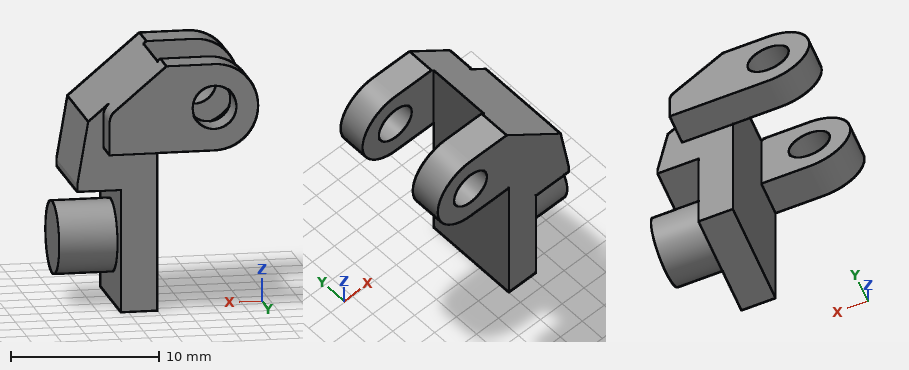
import cadquery as cq

ear_radius = 3.0
pivot_diameter = 3.0
front_ear_thickness = 2.5
back_ear_thickness = 2.2
body_width = 7.5
overall_width = body_width + back_ear_thickness

plate_front = 3.5
plate_thickness = 2.5
plate_back = plate_front + plate_thickness
plate_bottom = -14.5

slope_start = 3.3
shoulder_x = 8.25
shoulder_z = -1.15
head_back = 9.0
head_bottom = -6.0
lip_height = 0.5

back_ear_end = 7.2
back_corner_radius = 1.0

top_slope = (shoulder_z - ear_radius) / (shoulder_x - slope_start)

peg_diameter = 5.0
peg_length = 4.0
peg_z = -10.0


def extrude_along_y(profile, y_start, y_end):
    """Extrude a closed XZ profile between two Y positions."""
    return profile.extrude(-(y_end - y_start)).translate((0, y_start, 0))


def make_body():
    """Upright plate with its sloped head, over the full body width."""
    top_z = ear_radius + top_slope * (plate_front - slope_start)
    profile = (
        cq.Workplane("XZ")
        .moveTo(plate_front, plate_bottom)
        .lineTo(plate_back, plate_bottom)
        .lineTo(plate_back, head_bottom)
        .lineTo(head_back, head_bottom)
        .lineTo(head_back, head_bottom + lip_height)
        .lineTo(shoulder_x, shoulder_z)
        .lineTo(plate_front, top_z)
        .close()
    )
    return extrude_along_y(profile, 0, body_width)


def make_ear(root_points, y_start, y_end):
    """Round-nosed ear; root_points run from the top flat down to the bottom flat."""
    profile = (
        cq.Workplane("XZ")
        .moveTo(0, -ear_radius)
        .threePointArc((-ear_radius, 0), (0, ear_radius))
        .polyline(root_points, includeCurrent=True)
        .close()
    )
    return extrude_along_y(profile, y_start, y_end)


def make_peg():
    """Round peg standing on the plate's +X face, centred across the body."""
    return (
        cq.Workplane("YZ", origin=(plate_back, body_width / 2, peg_z))
        .circle(peg_diameter / 2)
        .extrude(peg_length)
    )


def make_pivot_hole(y_end):
    """Cutter for the pivot hole through both ears."""
    return extrude_along_y(cq.Workplane("XZ").circle(pivot_diameter / 2), 0, y_end)


def make_front_ear():
    """Front ear, whose root merges into the sloped head."""
    root = [
        (slope_start, ear_radius),
        (shoulder_x, shoulder_z),
        (shoulder_x, -ear_radius),
    ]
    return make_ear(root, 0, front_ear_thickness)


def make_back_ear():
    """Back ear, sloped like the head and rounded where the slope meets its end face."""
    corner_z = ear_radius + top_slope * (back_ear_end - slope_start)
    root = [
        (slope_start, ear_radius),
        (back_ear_end, corner_z),
        (back_ear_end, -ear_radius),
    ]
    ear = make_ear(root, body_width, overall_width)
    corner_point = (back_ear_end, body_width + back_ear_thickness / 2, corner_z)
    corner = cq.selectors.NearestToPointSelector(corner_point)
    return ear.edges(corner).fillet(back_corner_radius)


result = (
    make_body()
    .union(make_front_ear())
    .union(make_back_ear())
    .union(make_peg())
    .cut(make_pivot_hole(overall_width))
)